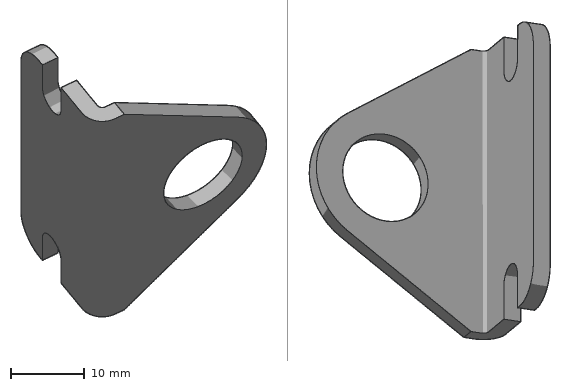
import cadquery as cq
import math

width = 19.05
depth = 27.8
height = 41.3

thickness = 2.5
bend_outer_radius = 3.3
bend_inner_radius = bend_outer_radius - thickness

corner_radius = 4.8
slot_width = 4.8
slot_depth = 7.2
slot_center_x = 7.97

hole_diameter = 12.68
hole_center_y = 17.5
ear_tip_radius = depth - hole_center_y
taper_start_y = 4.8


def bent_sheet():
    """L-shaped sheet with a rounded bend, extruded along Z."""
    profile = (
        cq.Workplane("XY")
        .polyline([
            (0, 0),
            (width, 0),
            (width, depth),
            (width - thickness, depth),
            (width - thickness, thickness),
            (0, thickness),
        ])
        .close()
        .extrude(height)
    )
    outer_bend = cq.selectors.NearestToPointSelector((width, 0, height / 2))
    inner_bend = cq.selectors.NearestToPointSelector((width - thickness, thickness, height / 2))
    return (
        profile
        .edges(outer_bend).fillet(bend_outer_radius)
        .edges(inner_bend).fillet(bend_inner_radius)
    )


def round_flange_corners(body):
    """Round the two free corners of the mounting flange."""
    return body.faces("<X").edges("|Y").fillet(corner_radius)


def open_slot(end_z, direction):
    """Round-bottomed slot entering from end_z; direction points into the part."""
    slot_radius = slot_width / 2
    arc_z = end_z + direction * (slot_depth - slot_radius)
    return (
        cq.Workplane("XZ")
        .moveTo(slot_center_x - slot_radius, end_z)
        .lineTo(slot_center_x - slot_radius, arc_z)
        .threePointArc(
            (slot_center_x, end_z + direction * slot_depth),
            (slot_center_x + slot_radius, arc_z),
        )
        .lineTo(slot_center_x + slot_radius, end_z)
        .close()
        .extrude(-thickness)
    )


def ear_outline():
    """Prism along X whose tapered sides run tangent into the round tip."""
    half_height = height / 2
    corner_run = hole_center_y - taper_start_y
    corner_distance = math.hypot(corner_run, half_height)
    corner_angle = math.atan2(half_height, -corner_run)
    tangent_angle = corner_angle - math.acos(ear_tip_radius / corner_distance)
    tangent_y = hole_center_y + ear_tip_radius * math.cos(tangent_angle)
    tangent_rise = ear_tip_radius * math.sin(tangent_angle)
    return (
        cq.Workplane("YZ")
        .moveTo(0, 0)
        .lineTo(taper_start_y, 0)
        .lineTo(tangent_y, half_height - tangent_rise)
        .threePointArc((depth, half_height), (tangent_y, half_height + tangent_rise))
        .lineTo(taper_start_y, height)
        .lineTo(0, height)
        .close()
        .extrude(width)
    )


def ear_hole():
    """Round hole through the ear."""
    return (
        cq.Workplane("YZ")
        .center(hole_center_y, height / 2)
        .circle(hole_diameter / 2)
        .extrude(width)
    )


result = round_flange_corners(bent_sheet()).intersect(ear_outline()).cut(ear_hole())
for end_z, direction in ((0, 1), (height, -1)):
    result = result.cut(open_slot(end_z, direction))